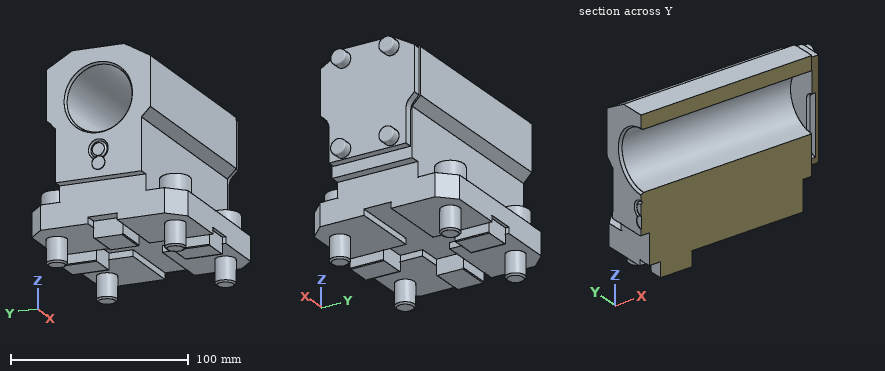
import cadquery as cq
import math


housing_length = 120.0
housing_height = 101.9
head_width = 64.0
neck_width = 53.0
head_bottom = 62.2
taper_angle = 45.0
roof_chamfer_run = 16.0
roof_chamfer_angle = 30.0
overhang_height = 24.8
end_overhang = 6.0

base_length = housing_length - 2 * end_overhang
base_width = 96.0
base_thickness = 15.0
base_corner = 10.0

bore_diameter = 40.0
bore_height = 72.0
bore_chamfer = 1.0
bore_chamfer_depth = 1.8

plug_height = 41.3
groove_outer_diameter = 12.0
groove_root_diameter = 10.0
plug_face_diameter = 7.5
groove_depth = 1.0
pin_diameter = 8.0
pin_drop = 8.0
pin_recess = 0.3

bolt_pitch_x = 70.1
bolt_pitch_y = 72.8
bolt_head_diameter = 18.0
bolt_head_height = 11.8
bolt_shank_diameter = 12.0
bolt_reach = 15.0
bolt_head_round = 1.0
bolt_tip_chamfer = 1.0

key_width = 18.0
key_length = 22.3
key_slot_depth = 3.9
key_reach = 6.3
key_edge_chamfer = 0.5
front_key_setback = 7.9
side_key_setback = 2.1

cover_thickness = 5.0
cover_inset = 1.0
cover_bottom = 32.1
cover_neck_round = 7.5
coolant_slot_width = 10.0
coolant_slot_depth = cover_thickness / 2

screw_diameter = 10.0
screw_head_height = 6.0
screw_pitch_y = 31.8
screw_heights = (37.9, 93.8)
screw_round = 0.8

front_x = -housing_length / 2
back_x = housing_length / 2


def section(bottom, inset=0.0):
    """YZ outline of head and neck, with every face but the bottom moved in by the inset."""
    slope = math.radians(roof_chamfer_angle)
    top = housing_height - inset
    head_side = head_width / 2 - inset
    neck_side = neck_width / 2 - inset
    roof_edge = head_width / 2 - roof_chamfer_run - inset * math.tan(slope / 2)
    shoulder = top - (head_side - roof_edge) * math.tan(slope)
    taper_top = head_bottom + inset * math.tan(math.radians(taper_angle / 2))
    taper_bottom = taper_top - (head_side - neck_side) * math.tan(math.radians(taper_angle))
    half = [
        (neck_side, bottom),
        (neck_side, taper_bottom),
        (head_side, taper_top),
        (head_side, shoulder),
        (roof_edge, top),
    ]
    mirrored = [(-y, z) for y, z in reversed(half)]
    return half + mirrored


def x_cylinder(x, y, z, diameter, length):
    """Cylinder that starts at x and runs in +X."""
    return cq.Workplane("YZ", origin=(x, y, z)).circle(diameter / 2).extrude(length)


def make_block():
    upper = (
        cq.Workplane("YZ", origin=(front_x, 0, 0))
        .polyline(section(overhang_height))
        .close()
        .extrude(housing_length)
    )
    pedestal = cq.Workplane("XY").box(
        base_length, neck_width, overhang_height, centered=(True, True, False)
    )
    base = (
        cq.Workplane("XY")
        .box(base_length, base_width, base_thickness, centered=(True, True, False))
        .edges("|Z")
        .chamfer(base_corner)
    )
    return base.union(pedestal).union(upper)


def make_bore():
    radius = bore_diameter / 2
    mouth = cq.Workplane("YZ", origin=(front_x, 0, bore_height)).circle(radius + bore_chamfer)
    mouth = mouth.workplane(offset=bore_chamfer_depth).circle(radius).loft(combine=True)
    return x_cylinder(front_x, 0, bore_height, bore_diameter, housing_length).union(mouth)


def make_plug_groove():
    """V groove between the countersunk hole and the chamfered plug that fills it."""
    return (
        cq.Workplane("XY", origin=(front_x, 0, plug_height))
        .moveTo(0, groove_outer_diameter / 2)
        .lineTo(groove_depth, groove_root_diameter / 2)
        .lineTo(0, plug_face_diameter / 2)
        .close()
        .revolve(360, (0, 0, 0), (1, 0, 0))
    )


def cut_plug_and_pin(body):
    pin_height = plug_height - pin_drop
    pin_seat = x_cylinder(front_x, 0, pin_height, pin_diameter, pin_recess)
    pin = x_cylinder(front_x + pin_recess, 0, pin_height, pin_diameter, groove_depth)
    return body.cut(make_plug_groove()).cut(pin_seat).union(pin)


def make_bolt(x, y):
    shank = (
        cq.Workplane("XY", origin=(x, y, -bolt_reach))
        .circle(bolt_shank_diameter / 2)
        .extrude(bolt_reach + base_thickness)
        .faces("<Z")
        .chamfer(bolt_tip_chamfer)
    )
    head = (
        cq.Workplane("XY", origin=(x, y, base_thickness))
        .circle(bolt_head_diameter / 2)
        .extrude(bolt_head_height)
        .faces(">Z")
        .edges()
        .fillet(bolt_head_round)
    )
    return shank.union(head)


def make_key_slots():
    along_x = cq.Workplane("XY").box(
        base_length, key_width, key_slot_depth, centered=(True, True, False)
    )
    along_y = cq.Workplane("XY").box(
        key_width, base_width, key_slot_depth, centered=(True, True, False)
    )
    return along_x.union(along_y)


def make_key(outer_end, angle):
    """Key that lies along X with its outer end at -outer_end, then turned about Z."""
    return (
        cq.Workplane("XY", origin=(-outer_end, 0, -key_reach))
        .box(key_length, key_width, key_reach + key_slot_depth, centered=(False, True, False))
        .edges("|X and <Z")
        .chamfer(key_edge_chamfer)
        .rotate((0, 0, 0), (0, 0, 1), angle)
    )


def make_housing():
    body = make_block().cut(make_bore()).cut(make_key_slots())
    body = cut_plug_and_pin(body)
    body = body.union(make_key(base_length / 2 - front_key_setback, 0))
    for angle in (90, -90):
        body = body.union(make_key(base_width / 2 - side_key_setback, angle))
    for side_x in (-1, 1):
        for side_y in (-1, 1):
            bolt_x = side_x * bolt_pitch_x / 2
            body = body.union(make_bolt(bolt_x, side_y * bolt_pitch_y / 2))
    return body


def make_coolant_slot():
    """Round-ended pocket from the bore axis down to the plug axis."""
    length = bore_height - plug_height + coolant_slot_width
    return (
        cq.Workplane("YZ", origin=(back_x, 0, (bore_height + plug_height) / 2))
        .slot2D(length, coolant_slot_width, 90)
        .extrude(coolant_slot_depth)
    )


def make_screw_head(y, z):
    head = x_cylinder(back_x + cover_thickness, y, z, screw_diameter, screw_head_height)
    return head.faces(">X").edges().fillet(screw_round)


def make_cover():
    plate = (
        cq.Workplane("YZ", origin=(back_x, 0, 0))
        .polyline(section(cover_bottom, cover_inset))
        .close()
        .extrude(cover_thickness)
    )
    neck_corner_height = min(z for _, z in section(cover_bottom, cover_inset) if z > cover_bottom)
    neck_corners = cq.selectors.BoxSelector(
        (back_x, -neck_width / 2, neck_corner_height - cover_thickness / 2),
        (back_x + cover_thickness, neck_width / 2, neck_corner_height + cover_thickness / 2),
    )
    plate = plate.edges("|X").edges(neck_corners).fillet(cover_neck_round)
    plate = plate.cut(make_coolant_slot())
    for side in (-1, 1):
        for height in screw_heights:
            plate = plate.union(make_screw_head(side * screw_pitch_y / 2, height))
    return plate


housing = make_housing()
cover = make_cover()
result = cq.Compound.makeCompound([housing.val(), cover.val()])